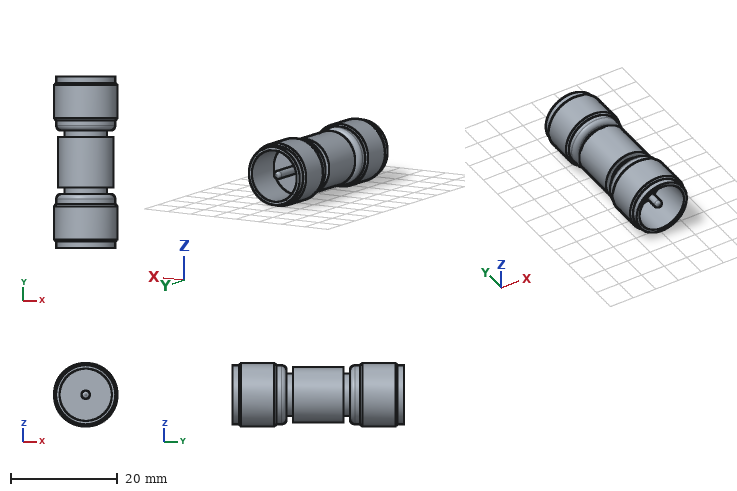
import cadquery as cq

length = 32.25
half_length = length / 2

ring_radius = 5.97
sleeve_radius = 5.55
body_radius = 5.23
neck_radius = 4.03
bore_radius = 4.9
pin_radius = 0.77
pin_tip_radius = 0.15

body_length = 9.5
neck_length = 1.2
ring_length = 6.97
lip_length = 1.3
ring_chamfer = 0.4
sleeve_fillet = 0.97
bore_depth = 8.05
pin_recess = 0.77

sleeve_start = body_length / 2 + neck_length
sleeve_length = half_length - sleeve_start
bore_floor = half_length - bore_depth


def cylinder(radius, start, size):
    """Cylinder along +Y, beginning at Y = start."""
    return cq.Workplane("XZ", origin=(0, start, 0)).circle(radius).extrude(-size)


def make_coupling_end():
    """Open sleeve with a raised grip ring and a centre pin, at the +Y end."""
    sleeve = cylinder(sleeve_radius, sleeve_start, sleeve_length)
    sleeve = sleeve.faces("<Y").edges().fillet(sleeve_fillet)
    ring = cylinder(ring_radius, half_length - lip_length - ring_length, ring_length)
    ring = ring.faces("<Y or >Y").edges().chamfer(ring_chamfer)
    bore = cylinder(bore_radius, bore_floor, bore_depth)
    pin = cylinder(pin_radius, bore_floor, bore_depth - pin_recess)
    pin = pin.faces(">Y").edges().fillet(pin_radius - pin_tip_radius)
    return sleeve.union(ring).cut(bore).union(pin)


body = cylinder(body_radius, -body_length / 2, body_length)
necks = cylinder(neck_radius, -sleeve_start, 2 * sleeve_start)
coupling_end = make_coupling_end()

result = body.union(necks).union(coupling_end).union(coupling_end.mirror("XZ"))